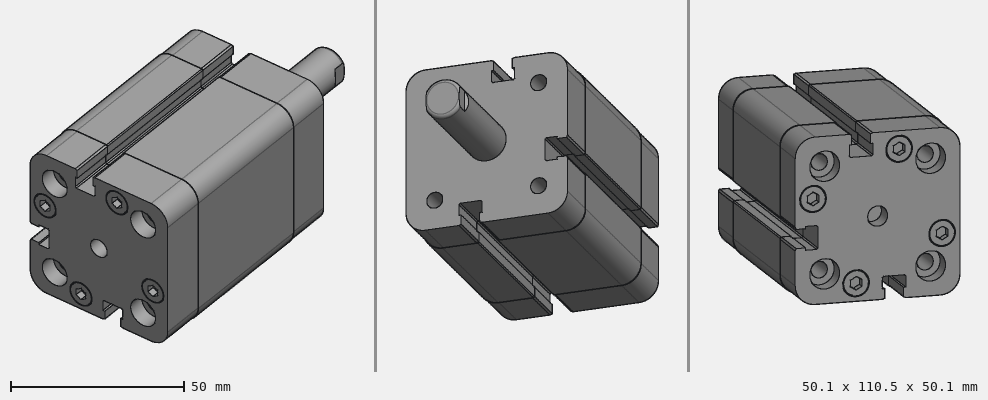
import cadquery as cq


body_width = 50.1
cap_width = 49.8
corner_radius = 6.0
cap_length = 14.5
body_length = 45.5
housing_length = body_length + 2 * cap_length

rod_diameter = 12.0
rod_length = 36.0
rod_tip_fillet = 1.1
flat_length = 4.5
flats_width = 10.2

slot_offset = 5.0
slot_opening = 5.6
slot_inner_width = 7.0
slot_lip_height = 21.7
slot_floor_height = 18.1
slot_floor_chamfer = 0.4
body_mouth_chamfer = 0.35
cap_mouth_chamfer_width = 0.7
cap_mouth_chamfer_depth = 0.3
cap_slot_clearance = 0.05
slot_count = 3

mount_spacing = 32.0
mount_hole_diameter = 4.92
mount_bore_diameter = 9.0
mount_bore_depth = 5.3

center_hole_diameter = 6.0
center_hole_depth = 6.0

screw_x = 6.5
screw_z = 19.5
screw_count = 4
screw_bore_diameter = 8.0
screw_head_diameter = 7.5
screw_gap_depth = 1.0
hexagon_sides = 6
hex_across_corners = 4.0
hex_depth = 2.5

quarter_turn = 90.0


def face_plane(y):
    """Workplane at the given Y whose positive extrusion runs toward +Y; local axes are X and -Z."""
    return cq.Workplane(cq.Plane(origin=(0, y, 0), xDir=(1, 0, 0), normal=(0, 1, 0)))


def turned(shape, quarter_turns):
    """Turn a shape about the Y axis, carrying +Z toward -X."""
    return shape.rotate((0, 0, 0), (0, 1, 0), -quarter_turn * quarter_turns)


def slot_cutter(y, length, width, chamfer_width, chamfer_depth, clearance):
    """T-slot in the +Z side of a housing section, its walls and floor set back by the clearance."""
    top = width / 2
    mouth_half = slot_opening / 2 + clearance
    inner_half = slot_inner_width / 2 + clearance
    lip_height = slot_lip_height + clearance
    floor_height = slot_floor_height - clearance
    right_half = [
        (mouth_half + chamfer_width, top),
        (mouth_half, top - chamfer_depth),
        (mouth_half, lip_height),
        (inner_half, lip_height),
        (inner_half, floor_height + slot_floor_chamfer),
        (inner_half - slot_floor_chamfer, floor_height),
    ]
    left_half = [(-x, z) for x, z in reversed(right_half)]
    points = [(x - slot_offset, -z) for x, z in right_half + left_half]
    return face_plane(y).polyline(points).close().extrude(length)


def housing_section(y, length, width, chamfer_width, chamfer_depth, clearance):
    """Rounded square section with a slot in the top, left and bottom sides."""
    section = face_plane(y).rect(width, width).extrude(length).edges("|Y").fillet(corner_radius)
    cutter = slot_cutter(y, length, width, chamfer_width, chamfer_depth, clearance)
    for turn in range(slot_count):
        section = section.cut(turned(cutter, turn))
    return section


def cap(y):
    return housing_section(
        y,
        cap_length,
        cap_width,
        cap_mouth_chamfer_width,
        cap_mouth_chamfer_depth,
        cap_slot_clearance,
    )


def body():
    return housing_section(
        cap_length,
        body_length,
        body_width,
        body_mouth_chamfer,
        body_mouth_chamfer,
        clearance=0,
    )


def wrench_flat_cutter():
    """Cutter for the +X wrench flat, ending in a 45 degree run-out."""
    flat_x = flats_width / 2
    tip_y = housing_length + rod_length
    flat_end_y = tip_y - flat_length
    reach = rod_diameter - flat_x
    points = [
        (flat_x, tip_y),
        (flat_x, flat_end_y),
        (flat_x + reach, flat_end_y - reach),
        (flat_x + reach, tip_y),
    ]
    outline = cq.Workplane("XY").polyline(points).close()
    return outline.extrude(rod_diameter / 2, both=True)


def piston_rod():
    rod = face_plane(housing_length).circle(rod_diameter / 2).extrude(rod_length)
    rod = rod.faces(">Y").edges().fillet(rod_tip_fillet)
    flat = wrench_flat_cutter()
    return rod.cut(flat).cut(turned(flat, 2))


def mounting_hole_cutter():
    """Four counterbored holes, running through the full housing length."""
    corners = face_plane(0).rect(mount_spacing, mount_spacing, forConstruction=True).vertices()
    holes = corners.circle(mount_hole_diameter / 2).extrude(housing_length)
    bores = corners.circle(mount_bore_diameter / 2).extrude(mount_bore_depth)
    return holes.union(bores)


def center_hole_cutter():
    return face_plane(0).circle(center_hole_diameter / 2).extrude(center_hole_depth)


def screw_positions():
    """Screw centres as (x, z), each a quarter turn on from the one before."""
    positions = [(screw_x, screw_z)]
    while len(positions) < screw_count:
        x, z = positions[-1]
        positions.append((-z, x))
    return positions


def screw_cutter(x, z):
    """Ring gap around the screw head, and its hexagon socket with corners up and down."""
    place = face_plane(0).center(x, -z)
    gap = place.circle(screw_bore_diameter / 2).circle(screw_head_diameter / 2).extrude(screw_gap_depth)
    upright = cq.Plane(origin=(x, 0, z), xDir=(0, 0, 1), normal=(0, 1, 0))
    socket = cq.Workplane(upright).polygon(hexagon_sides, hex_across_corners).extrude(hex_depth)
    return gap.union(socket)


result = cap(0).union(body()).union(cap(cap_length + body_length)).union(piston_rod())
result = result.cut(mounting_hole_cutter()).cut(center_hole_cutter())
for screw_center_x, screw_center_z in screw_positions():
    result = result.cut(screw_cutter(screw_center_x, screw_center_z))